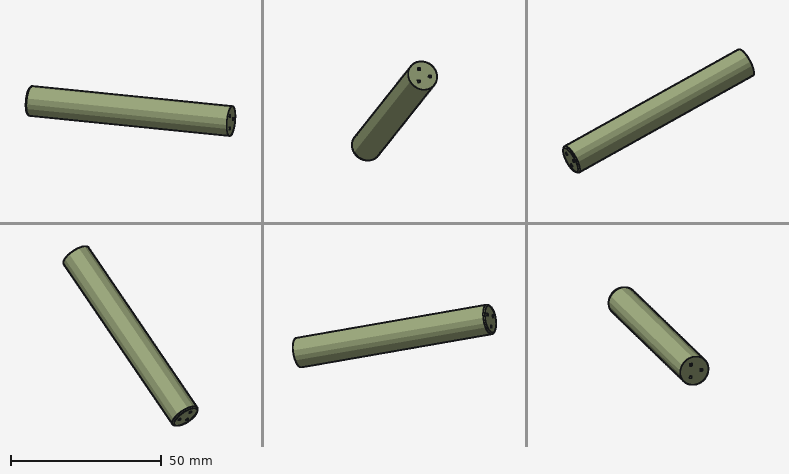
import cadquery as cq
import math

length = 70.0
diameter = 10.0
chamfer = 0.5
hole_count = 3
hole_diameter = 0.85
hole_circle_radius = 2.5
first_hole_angle = 16.0
helix_angle = 30.0

helix_lead = math.pi * diameter / math.tan(math.radians(helix_angle))
twist_angle = 360 * length / helix_lead

bar = cq.Workplane("YZ").circle(diameter / 2).extrude(length)
bar = bar.faces("<X").chamfer(chamfer)

holes = (
    cq.Workplane("YZ")
    .polarArray(hole_circle_radius, first_hole_angle, 360, hole_count)
    .circle(hole_diameter / 2)
    .twistExtrude(length, twist_angle)
)

result = bar.cut(holes)